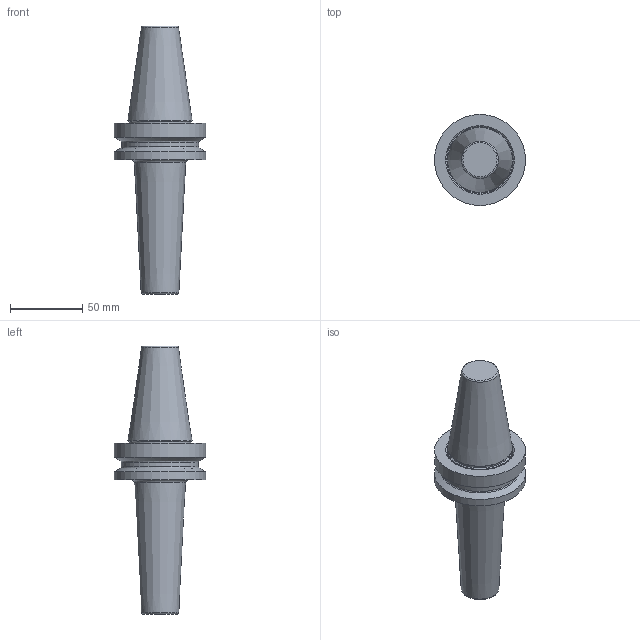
import cadquery as cq
import math


gauge_diameter = 44.45
taper_ratio = 7 / 24
shank_length = 65.4
shank_tip_fillet = 1.0

neck_diameter = 43.0
neck_chamfer = (gauge_diameter - neck_diameter) / 2
relief_diameter = 47.5
relief_depth = 0.6
relief_side_width = 0.8

flange_diameter = 63.0
flange_top = -2.0
flange_bottom = -27.0

groove_center = -16.6
groove_floor_diameter = 53.4
groove_floor_width = 4.5
groove_wall_angle = 30
groove_floor_fillet = 1.0

nose_end = -120.0
nose_end_diameter = 26.0
nose_half_angle = 3
nose_end_fillet = 1.0
nose_root_fillet = 2.5

selection_margin = 0.1


def turned(profile_points):
    """Solid of revolution about Z from (radius, height) points."""
    return cq.Workplane("XZ").polyline(profile_points).close().revolve(360, (0, 0), (0, 1))


def make_shank():
    tip_diameter = gauge_diameter - shank_length * taper_ratio
    shank = turned([
        (0, flange_top),
        (neck_diameter / 2, flange_top),
        (neck_diameter / 2, -neck_chamfer),
        (gauge_diameter / 2, 0),
        (tip_diameter / 2, shank_length),
        (0, shank_length),
    ])
    return shank.faces(">Z").edges().fillet(shank_tip_fillet)


def make_flange():
    height = flange_top - flange_bottom
    return cq.Workplane("XY").workplane(offset=flange_bottom).circle(flange_diameter / 2).extrude(height)


def make_relief():
    """Ring with sloping sides, cut into the flange top around the neck."""
    inner_radius = neck_diameter / 2
    outer_radius = relief_diameter / 2
    relief_floor = flange_top - relief_depth
    return turned([
        (inner_radius, flange_top),
        (inner_radius + relief_side_width, relief_floor),
        (outer_radius - relief_side_width, relief_floor),
        (outer_radius, flange_top),
    ])


def make_gripper_groove():
    floor_radius = groove_floor_diameter / 2
    outer_radius = flange_diameter / 2
    floor_half_width = groove_floor_width / 2
    wall_rise = (outer_radius - floor_radius) * math.tan(math.radians(groove_wall_angle))
    mouth_half_width = floor_half_width + wall_rise
    groove = turned([
        (floor_radius, groove_center - floor_half_width),
        (outer_radius, groove_center - mouth_half_width),
        (outer_radius, groove_center + mouth_half_width),
        (floor_radius, groove_center + floor_half_width),
    ])
    floor_edges = groove.edges(cq.selectors.RadiusNthSelector(0))
    return floor_edges.fillet(groove_floor_fillet)


def make_nose():
    length = flange_bottom - nose_end
    root_radius = nose_end_diameter / 2 + length * math.tan(math.radians(nose_half_angle))
    nose = turned([
        (0, nose_end),
        (nose_end_diameter / 2, nose_end),
        (root_radius, flange_bottom),
        (0, flange_bottom),
    ])
    return nose.faces("<Z").edges().fillet(nose_end_fillet)


def fillet_nose_root(body):
    """Round the corner where the nose meets the underside of the flange."""
    underside = cq.selectors.BoxSelector(
        (-flange_diameter, -flange_diameter, flange_bottom - selection_margin),
        (flange_diameter, flange_diameter, flange_bottom + selection_margin),
        boundingbox=True,
    )
    root_edge = body.edges(underside).edges(cq.selectors.RadiusNthSelector(0))
    return root_edge.fillet(nose_root_fillet)


flange = make_flange().cut(make_relief()).cut(make_gripper_groove())
body = fillet_nose_root(flange.union(make_nose()))
result = body.union(make_shank())